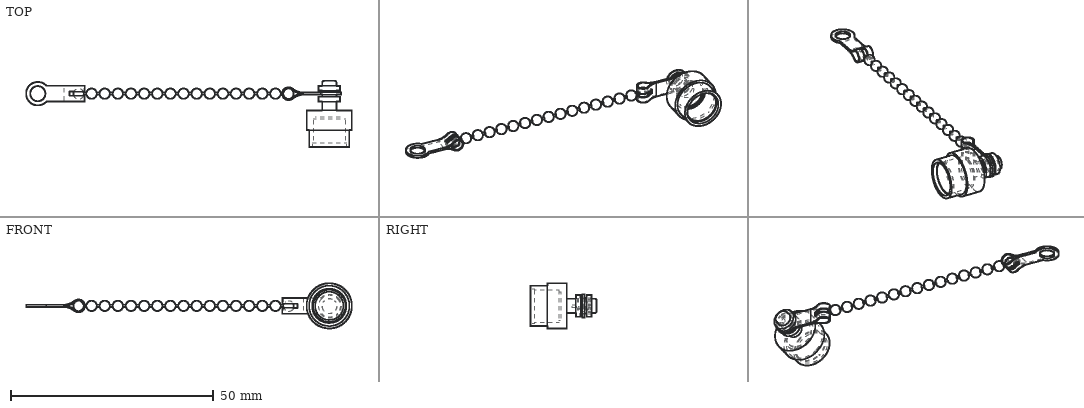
import cadquery as cq
import math


CAP_DIAMETER = 11.25
CAP_SHOULDER_Y = -4.15
SKIRT_DIAMETER = 10.0
SKIRT_START_Y = -9.0
CAP_OPEN_Y = -13.2

MOUTH_DIAMETER = 8.5
MOUTH_DEPTH = 1.0
BORE_DIAMETER = 8.0
BORE_DEPTH = 7.0
FLOOR_RECESS_DIAMETER = 7.0
FLOOR_RECESS_DEPTH = 0.5

POST_DIAMETER = 3.6
POST_END_Y = 3.2
POST_END_FILLET = 0.5
FLANGE_DIAMETER = 5.4
FLANGE_THICKNESS = 1.2
FLANGE_GAP = 1.5

BEAD_DIAMETER = 2.6
BEAD_COUNT = 17
BEAD_PITCH = 3.25
WIRE_DIAMETER = 0.6

SHEET_THICKNESS = 0.3
STRIP_THICKNESS = 2 * SHEET_THICKNESS
STRIP_WIDTH = 4.0
RING_DIAMETER = 5.85
RING_HOLE_CLEARANCE = 0.1
RING_HOLE_DIAMETER = POST_DIAMETER + RING_HOLE_CLEARANCE
LOOP_OFFSET = 10.065
FLARE_START = 6.45
LOOP_INNER_RADIUS = BEAD_DIAMETER / 2
LOOP_OUTER_RADIUS = LOOP_INNER_RADIUS + SHEET_THICKNESS
SLOT_WIDTH = 1.0
SLOT_REACH = 2.2
SLOT_START = LOOP_OFFSET - SLOT_REACH

CHAIN_LENGTH = (BEAD_COUNT - 1) * BEAD_PITCH
CHAIN_END_X = -LOOP_OFFSET
CHAIN_START_X = CHAIN_END_X - CHAIN_LENGTH
FAR_RING_X = CHAIN_START_X - LOOP_OFFSET


def cylinder_along_y(diameter, start_y, end_y):
    """Cylinder on the Y axis from start_y up to end_y."""
    base = cq.Workplane("XZ", origin=(0, start_y, 0))
    return base.circle(diameter / 2).extrude(start_y - end_y)


def make_cap():
    shoulder = cylinder_along_y(CAP_DIAMETER, SKIRT_START_Y, CAP_SHOULDER_Y)
    skirt = cylinder_along_y(SKIRT_DIAMETER, CAP_OPEN_Y, SKIRT_START_Y)
    post = cylinder_along_y(POST_DIAMETER, CAP_SHOULDER_Y, POST_END_Y)
    post = post.faces(">Y").edges().fillet(POST_END_FILLET)
    cap = shoulder.union(skirt).union(post)

    inner_y = FLANGE_GAP / 2
    outer_y = inner_y + FLANGE_THICKNESS
    cap = cap.union(cylinder_along_y(FLANGE_DIAMETER, inner_y, outer_y))
    cap = cap.union(cylinder_along_y(FLANGE_DIAMETER, -outer_y, -inner_y))

    bore_end_y = CAP_OPEN_Y + BORE_DEPTH
    floor_y = bore_end_y + FLOOR_RECESS_DEPTH
    cap = cap.cut(cylinder_along_y(MOUTH_DIAMETER, CAP_OPEN_Y, CAP_OPEN_Y + MOUTH_DEPTH))
    cap = cap.cut(cylinder_along_y(BORE_DIAMETER, CAP_OPEN_Y, bore_end_y))
    return cap.cut(cylinder_along_y(FLOOR_RECESS_DIAMETER, CAP_OPEN_Y, floor_y))


def make_chain():
    wire = cq.Workplane("YZ", origin=(CHAIN_START_X, 0, 0))
    chain = wire.circle(WIRE_DIAMETER / 2).extrude(CHAIN_LENGTH)
    for index in range(BEAD_COUNT):
        bead_x = CHAIN_START_X + index * BEAD_PITCH
        bead = cq.Workplane("XY").sphere(BEAD_DIAMETER / 2).translate((bead_x, 0, 0))
        chain = chain.union(bead)
    return chain


def make_flared_loop(half_throat, flare_radius, loop_radius):
    """Solid teardrop as wide as the strip: two flare arcs that run tangent into a round end.

    half_throat is the half thickness where the flare starts; at 0 the arcs meet in a point.
    """
    flare_center_z = half_throat + flare_radius
    flare_length = LOOP_OFFSET - FLARE_START
    flare_angle = math.atan2(flare_length, flare_center_z)
    touch_x = FLARE_START + flare_radius * math.sin(flare_angle)
    touch_z = flare_center_z - flare_radius * math.cos(flare_angle)
    flare_mid_x = FLARE_START + flare_radius * math.sin(flare_angle / 2)
    flare_mid_z = flare_center_z - flare_radius * math.cos(flare_angle / 2)
    shoulder_x = LOOP_OFFSET - loop_radius * math.sin(flare_angle / 2)
    shoulder_z = loop_radius * math.cos(flare_angle / 2)

    outline = (
        cq.Workplane("XZ", origin=(0, STRIP_WIDTH / 2, 0))
        .moveTo(FLARE_START, half_throat)
        .threePointArc((flare_mid_x, flare_mid_z), (touch_x, touch_z))
        .threePointArc((shoulder_x, shoulder_z), (LOOP_OFFSET, loop_radius))
        .threePointArc((LOOP_OFFSET + loop_radius, 0), (LOOP_OFFSET, -loop_radius))
        .threePointArc((shoulder_x, -shoulder_z), (touch_x, -touch_z))
        .threePointArc((flare_mid_x, -flare_mid_z), (FLARE_START, -half_throat))
    )
    return outline.close().extrude(STRIP_WIDTH)


def make_clip():
    """Clip with its ring on the Z axis, its strip along +X and its loop curled about Y."""
    strip_base = cq.Workplane("XY", origin=(0, 0, -STRIP_THICKNESS / 2))
    ring = strip_base.circle(RING_DIAMETER / 2).extrude(STRIP_THICKNESS)
    strip = strip_base.center(FLARE_START / 2, 0).rect(FLARE_START, STRIP_WIDTH).extrude(STRIP_THICKNESS)
    ring_hole = strip_base.circle(RING_HOLE_DIAMETER / 2).extrude(STRIP_THICKNESS)

    flare_length = LOOP_OFFSET - FLARE_START
    flare_radius = (flare_length**2 + SHEET_THICKNESS**2 - LOOP_OUTER_RADIUS**2) / (
        2 * (LOOP_OUTER_RADIUS - SHEET_THICKNESS)
    )
    loop = make_flared_loop(SHEET_THICKNESS, flare_radius, LOOP_OUTER_RADIUS)
    hollow = make_flared_loop(0, flare_radius + SHEET_THICKNESS, LOOP_INNER_RADIUS)

    slot_length = SLOT_REACH + LOOP_OUTER_RADIUS
    slot_start = cq.Workplane("XY", origin=(SLOT_START, 0, 0))
    slot = slot_start.box(slot_length, SLOT_WIDTH, 2 * LOOP_OUTER_RADIUS, centered=(False, True, True))

    return ring.union(strip).union(loop).cut(ring_hole).cut(hollow).cut(slot)


cap = make_cap()
chain = make_chain()
clip = make_clip()

far_clip = clip.translate((FAR_RING_X, 0, 0))
near_clip = clip.rotate((0, 0, 0), (0, 0, 1), 180).rotate((0, 0, 0), (1, 0, 0), 90)

result = cq.Compound.makeCompound([cap.val(), chain.val(), far_clip.val(), near_clip.val()])